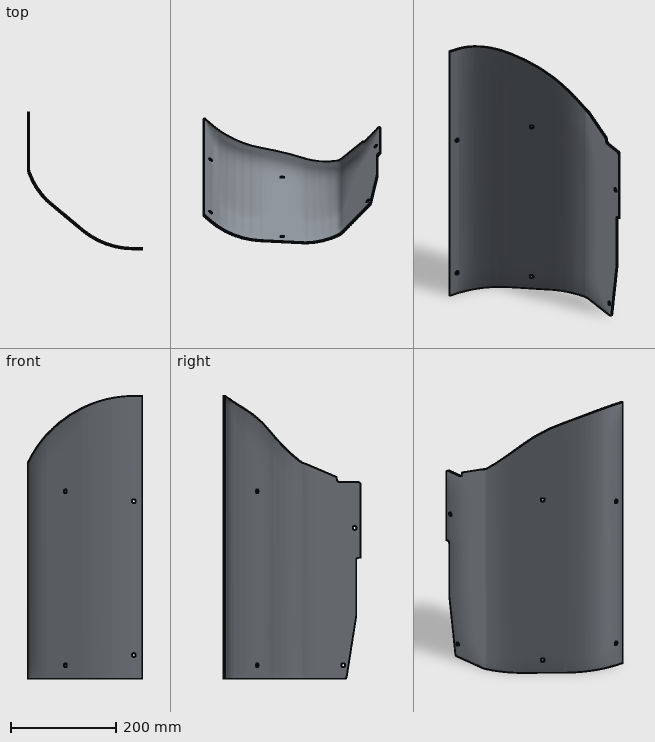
import cadquery as cq
import math

WIDTH = 218.07
DEPTH = 260.41
HEIGHT = 537.21
THICKNESS = 3.175
HOLE_DIAMETER = 7.14

LIP_LENGTH = 16.4
FRONT_RADIUS = 154.0
PANEL_ANGLE = 39.8
CREASE_RADIUS = 54.0
CREASE_TURN = 4.6
REAR_RADIUS = 143.0
REAR_TURN = 25.5
FLANGE_BEND_RADIUS = 28.575
FLANGE_BEND_TURN = 90 - PANEL_ANGLE - CREASE_TURN - REAR_TURN

DOME_RADIUS = 223.0
DOME_STEPS = 8
DOME_CLEARANCE = 1.0

TAB_TOP = 373.8
TAB_BOTTOM = 229.6
TAB_STEP_Y = 215.5
STEP_TOP = 383.0
SLOPE_ANGLE = 23.2
TAB_OVERHANG = 8.3
TAPER_TOP = 118.3
TAPER_FOOT_Y = 233.5
CORNER_RADIUS = 5.0
TAB_RELIEF_RADIUS = 4.0

LIP_HOLE_HEIGHTS = (45.3, 337.4)
PANEL_HOLE_X = 71.4
PANEL_HOLE_HEIGHTS = (26.1, 356.0)
FLANGE_HOLES = ((227.3, 26.1), (249.1, 286.5))


def arc_travel(radius, start_angle, turn):
    """X and Y distance covered by an arc that climbs from start_angle by turn (degrees)."""
    start = math.radians(start_angle)
    end = math.radians(start_angle + turn)
    return radius * (math.sin(end) - math.sin(start)), radius * (math.cos(start) - math.cos(end))


CREASE_START = PANEL_ANGLE
REAR_START = CREASE_START + CREASE_TURN
BEND_START = REAR_START + REAR_TURN
FRONT_ARC = (FRONT_RADIUS, 0, PANEL_ANGLE)
CREASE_ARC = (CREASE_RADIUS, CREASE_START, CREASE_TURN)
REAR_ARC = (REAR_RADIUS, REAR_START, REAR_TURN)
BEND_ARC = (FLANGE_BEND_RADIUS, BEND_START, FLANGE_BEND_TURN)
ARCS = (FRONT_ARC, CREASE_ARC, REAR_ARC, BEND_ARC)

panel_run = WIDTH - LIP_LENGTH - sum(arc_travel(*arc)[0] for arc in ARCS)
panel_rise = panel_run * math.tan(math.radians(PANEL_ANGLE))
lip_start_x = WIDTH - LIP_LENGTH
panel_start_x = lip_start_x - arc_travel(*FRONT_ARC)[0]
panel_start_y = arc_travel(*FRONT_ARC)[1]
bend_end_y = panel_rise + sum(arc_travel(*arc)[1] for arc in ARCS)
bend_start_y = bend_end_y - arc_travel(*BEND_ARC)[1]


def add_arc(sketch, start, arc, inset):
    """Add one arc of the cross-section, moved inward by inset; return the sketch and its end point."""
    radius, slope, turn = arc
    half_x, half_y = arc_travel(radius - inset, slope, turn / 2)
    full_x, full_y = arc_travel(radius - inset, slope, turn)
    middle = (start[0] - half_x, start[1] + half_y)
    end = (start[0] - full_x, start[1] + full_y)
    return sketch.threePointArc(middle, end), end


def region_behind(inset):
    """Full-height block behind the skin that lies inset inward from the outer face."""
    point = (lip_start_x, inset)
    sketch = cq.Workplane("XY").moveTo(WIDTH, inset).lineTo(*point)
    sketch, point = add_arc(sketch, point, FRONT_ARC, inset)
    point = (point[0] - panel_run, point[1] + panel_rise)
    sketch = sketch.lineTo(*point)
    for arc in (CREASE_ARC, REAR_ARC, BEND_ARC):
        sketch, point = add_arc(sketch, point, arc, inset)
    sketch = sketch.lineTo(inset, DEPTH).lineTo(WIDTH, DEPTH).close()
    return sketch.extrude(HEIGHT)


def arc_points(start, arc):
    """Evenly spaced points along an outer arc, each with its slope: (x, y, slope)."""
    radius, slope, turn = arc
    points = []
    for step in range(DOME_STEPS + 1):
        swept = turn * step / DOME_STEPS
        run, rise = arc_travel(radius, slope, swept)
        points.append((start[0] - run, start[1] + rise, slope + swept))
    return points


def panel_points(start):
    """Evenly spaced points along the outer face of the flat panel: (x, y, slope)."""
    points = []
    for step in range(DOME_STEPS + 1):
        share = step / DOME_STEPS
        points.append((start[0] - share * panel_run, start[1] + share * panel_rise, PANEL_ANGLE))
    return points


def above_dome(points):
    """Space above the domed top edge over one stretch, its floor square to the sheet."""

    def edge_at(inset):
        path = []
        for x, y, slope in points:
            angle = math.radians(slope)
            drop = DOME_RADIUS - math.sqrt(DOME_RADIUS ** 2 - (lip_start_x - x) ** 2)
            path.append(cq.Vector(x + inset * math.sin(angle), y + inset * math.cos(angle), HEIGHT - drop))
        return cq.Edge.makeSpline(path)

    floor = cq.Face.makeRuledSurface(edge_at(-DOME_CLEARANCE), edge_at(THICKNESS + DOME_CLEARANCE))
    return cq.Solid.extrudeLinear(floor, cq.Vector(0, 0, HEIGHT))


def cut_dome(sheet):
    stretches = [arc_points((lip_start_x, 0), FRONT_ARC)]
    stretches.append(panel_points(stretches[-1][-1]))
    for arc in (CREASE_ARC, REAR_ARC, BEND_ARC):
        stretches.append(arc_points(stretches[-1][-1], arc))
    for points in stretches:
        sheet = sheet.cut(above_dome(points))
    return sheet


def flange_block():
    """Side outline of the flange, with the full height kept in front of the flange bend."""
    slope_rise = (TAB_STEP_Y - bend_start_y) * math.tan(math.radians(SLOPE_ANGLE))
    tab_inner_y = DEPTH - TAB_OVERHANG
    block = (
        cq.Workplane("YZ")
        .lineTo(TAPER_FOOT_Y, 0)
        .lineTo(tab_inner_y, TAPER_TOP)
        .lineTo(tab_inner_y, TAB_BOTTOM)
        .lineTo(DEPTH, TAB_BOTTOM)
        .lineTo(DEPTH, TAB_TOP)
        .lineTo(TAB_STEP_Y, TAB_TOP)
        .lineTo(TAB_STEP_Y, STEP_TOP)
        .lineTo(bend_start_y, STEP_TOP + slope_rise)
        .lineTo(bend_start_y, HEIGHT)
        .lineTo(0, HEIGHT)
        .close()
        .extrude(WIDTH)
    )
    rounded_corners = (
        (TAPER_FOOT_Y, 0, CORNER_RADIUS),
        (tab_inner_y, TAB_BOTTOM, TAB_RELIEF_RADIUS),
        (DEPTH, TAB_TOP, CORNER_RADIUS),
        (TAB_STEP_Y, TAB_TOP, CORNER_RADIUS),
        (TAB_STEP_Y, STEP_TOP, CORNER_RADIUS),
    )
    for y, z, radius in rounded_corners:
        corner = cq.selectors.NearestToPointSelector((WIDTH / 2, y, z))
        block = block.edges("|X").edges(corner).fillet(radius)
    return block


def hole(centre, direction):
    """Drill centred on the outer face, long enough to pass through the sheet on both sides."""
    reach = 4 * THICKNESS
    axis = cq.Vector(*direction)
    start = cq.Vector(*centre) - axis * reach
    return cq.Solid.makeCylinder(HOLE_DIAMETER / 2, 2 * reach, start, axis)


def drill_holes(sheet):
    for z in LIP_HOLE_HEIGHTS:
        sheet = sheet.cut(hole((lip_start_x, 0, z), (0, 1, 0)))

    slope = math.radians(PANEL_ANGLE)
    panel_normal = (math.sin(slope), math.cos(slope), 0)
    panel_hole_y = panel_start_y + (panel_start_x - PANEL_HOLE_X) * math.tan(slope)
    for z in PANEL_HOLE_HEIGHTS:
        sheet = sheet.cut(hole((PANEL_HOLE_X, panel_hole_y, z), panel_normal))

    for y, z in FLANGE_HOLES:
        sheet = sheet.cut(hole((0, y, z), (1, 0, 0)))
    return sheet


skin = region_behind(0).cut(region_behind(THICKNESS))
trimmed = cut_dome(skin).intersect(flange_block())
result = drill_holes(trimmed)